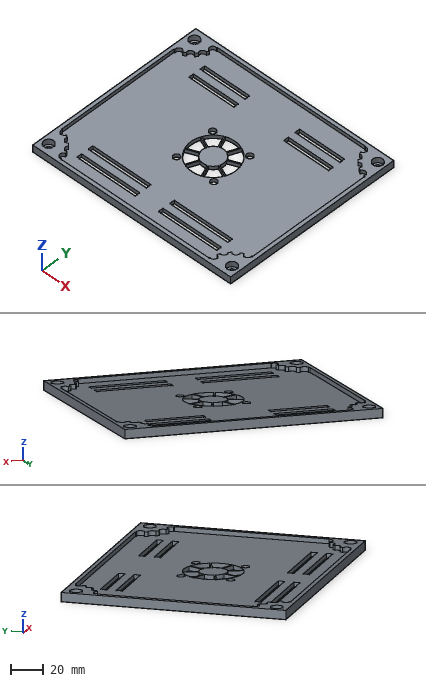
import cadquery as cq
import math

LENGTH = 170.0
WIDTH = 145.0
THICKNESS = 6.0

FLOOR = 3.0
RIM = 3.0
POCKET_DEPTH = THICKNESS - FLOOR
POCKET_LENGTH = LENGTH - 2 * RIM
POCKET_WIDTH = WIDTH - 2 * RIM

BLOCK_RADIUS = 22.5
BLOCK_SHIFT_X = 1.0
BLOCK_SHIFT_Y = 0.5

SCALLOP_DIAMETER = 5.2
END_SCALLOP_RADIUS = 21.2
END_SCALLOP_ANGLE = 16.5
SCALLOP_RADIUS = 22.5
SCALLOP_MIDDLE_ANGLE = 54.6
SCALLOP_STEP = 19.3

SCREW_INSET_X = 6.25
SCREW_INSET_Y = 7.75
SCREW_X = LENGTH / 2 - SCREW_INSET_X
SCREW_Y = WIDTH / 2 - SCREW_INSET_Y
SCREW_DIAMETER = 4.4
HEAD_DIAMETER = 8.0
HEAD_DEPTH = 4.5

FAN_DIAMETER = 38.0
HUB_DIAMETER = 18.0
SPOKE_WIDTH = 1.0
SPOKE_COUNT = 8
FAN_SCREW_PITCH = 32.0
FAN_SCREW_DIAMETER = 5.2

SLOT_WIDTH = 4.0
SLOT_PITCH = 10.0
SLOT_OUTER_X = 60.0
BACK_SLOT_LENGTH = 38.5
BACK_PAIR_Y = 47.5
FRONT_SLOT_LENGTH = 50.0
FRONT_PAIR_Y = -52.0


def mirrored_points(x, y):
    """The four points (+-x, +-y)."""
    return [(sx * x, sy * y) for sx in (-1, 1) for sy in (-1, 1)]


def scallop_centre(radius, angle):
    """Point at the given radius and angle in degrees, measured inwards from the +X +Y plate corner."""
    x = LENGTH / 2 - radius * math.cos(math.radians(angle))
    y = WIDTH / 2 - radius * math.sin(math.radians(angle))
    return (x, y)


def corner_block():
    """Block at the +X +Y corner: a disc near the corner with four scallops along its edge."""
    floor_plane = cq.Workplane("XY", origin=(0, 0, FLOOR))
    disc_centre = (LENGTH / 2 + BLOCK_SHIFT_X, WIDTH / 2 - BLOCK_SHIFT_Y)
    disc = floor_plane.center(*disc_centre).circle(BLOCK_RADIUS).extrude(POCKET_DEPTH)
    centres = [scallop_centre(END_SCALLOP_RADIUS, END_SCALLOP_ANGLE)]
    for step in (-1, 0, 1):
        centres.append(scallop_centre(SCALLOP_RADIUS, SCALLOP_MIDDLE_ANGLE + step * SCALLOP_STEP))
    scallops = floor_plane.pushPoints(centres).circle(SCALLOP_DIAMETER / 2).extrude(POCKET_DEPTH)
    return disc.cut(scallops)


def pocket():
    """Rectangular pocket without the four corner blocks."""
    space = cq.Workplane("XY", origin=(0, 0, FLOOR)).rect(POCKET_LENGTH, POCKET_WIDTH).extrude(POCKET_DEPTH)
    block = corner_block()
    opposite_x = block.mirror("YZ")
    for corner in (block, opposite_x, block.mirror("XZ"), opposite_x.mirror("XZ")):
        space = space.cut(corner)
    return space


def fan_opening():
    """Ring between hub and rim, interrupted by the spokes."""
    ring = cq.Workplane("XY").circle(FAN_DIAMETER / 2).circle(HUB_DIAMETER / 2).extrude(THICKNESS)
    step = 360 / SPOKE_COUNT
    for i in range(SPOKE_COUNT // 2):
        bar = cq.Workplane("XY").rect(FAN_DIAMETER, SPOKE_WIDTH).extrude(THICKNESS)
        ring = ring.cut(bar.rotate((0, 0, 0), (0, 0, 1), (i + 0.5) * step))
    return ring


def slot_pairs(length, pair_y):
    """Two stacked slots on the left and two on the right, flush at their outer ends."""
    centre_x = SLOT_OUTER_X - length / 2
    centres = [(x, pair_y + y) for x, y in mirrored_points(centre_x, SLOT_PITCH / 2)]
    return cq.Workplane("XY").pushPoints(centres).rect(length, SLOT_WIDTH).extrude(THICKNESS)


def fan_screw_holes():
    """Four through holes on a square about the fan centre."""
    centres = mirrored_points(FAN_SCREW_PITCH / 2, FAN_SCREW_PITCH / 2)
    return cq.Workplane("XY").pushPoints(centres).circle(FAN_SCREW_DIAMETER / 2).extrude(THICKNESS)


plate = cq.Workplane("XY").box(LENGTH, WIDTH, THICKNESS, centered=(True, True, False))
plate = plate.cut(pocket())
plate = plate.cut(fan_opening())
plate = plate.cut(fan_screw_holes())
plate = plate.cut(slot_pairs(BACK_SLOT_LENGTH, BACK_PAIR_Y))
plate = plate.cut(slot_pairs(FRONT_SLOT_LENGTH, FRONT_PAIR_Y))
result = (
    plate.faces(">Z")
    .workplane(origin=(0, 0, THICKNESS))
    .pushPoints(mirrored_points(SCREW_X, SCREW_Y))
    .cboreHole(SCREW_DIAMETER, HEAD_DIAMETER, HEAD_DEPTH)
)